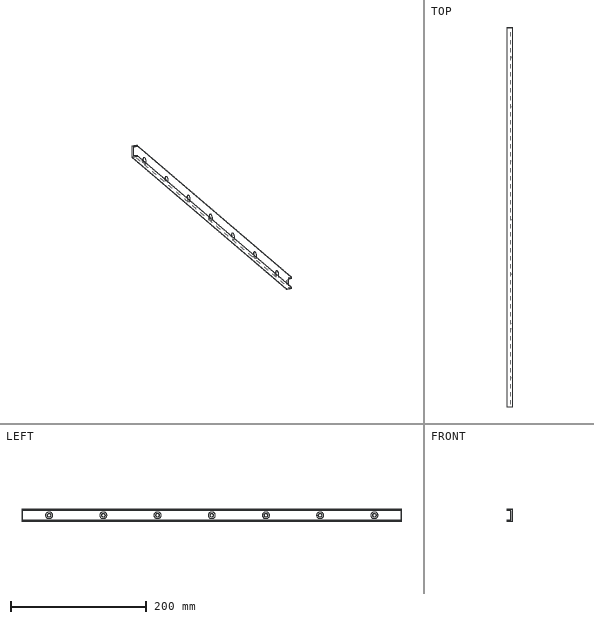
import cadquery as cq

length = 560.0
depth = 8.25
width = 18.0

web_thickness = 2.8
flange_thickness = 2.0
corner_radius = 1.0
edge_radius = 0.3

hole_count = 7
hole_pitch = length / hole_count
hole_diameter = 5.0
countersink_diameter = 10.2
countersink_angle = 90.0

web_face_x = depth / 2 - web_thickness


def channel():
    """C-shaped rail, open toward -X and running along Y, with filleted inner corners."""
    body = cq.Workplane("XY").box(depth, length, width)
    opening = (
        cq.Workplane("XY")
        .box(depth, length, width - 2 * flange_thickness)
        .edges("|Y and >X")
        .fillet(corner_radius)
    )
    return body.cut(opening.translate((-web_thickness, 0, 0)))


def round_outer_edges(rail):
    """Round the long edges of both flange lips and of the back of the web."""
    return rail.faces("<X or >X").edges("|Y").fillet(edge_radius)


def drill_mounting_holes(rail):
    """Countersunk holes along the web, sunk from inside the channel."""
    web_face = cq.Plane(origin=(web_face_x, 0, 0), xDir=(0, 1, 0), normal=(-1, 0, 0))
    hole_row = rail.copyWorkplane(cq.Workplane(web_face)).rarray(hole_pitch, 1, hole_count, 1)
    return hole_row.cskHole(hole_diameter, countersink_diameter, countersink_angle)


result = drill_mounting_holes(round_outer_edges(channel()))